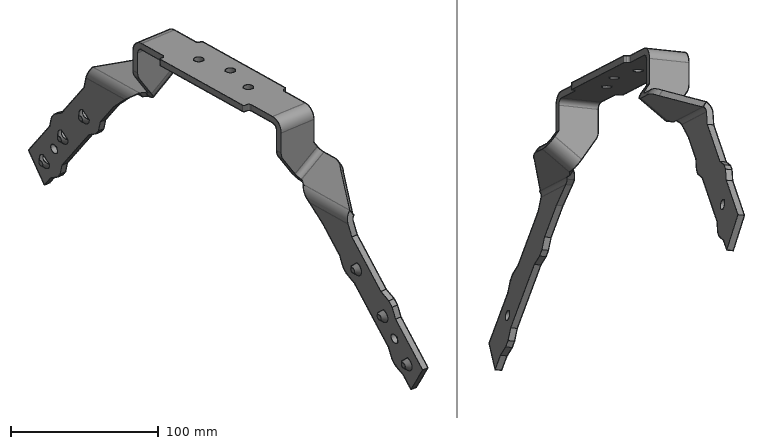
import cadquery as cq
import math

length = 408.5
height = 166.5

thickness = 5.0
bend_inner = 4.0
bend_outer = bend_inner + thickness

half_span = 76.8
strap_width = 29.5
web_reach = 57.0
web_corner_radius = 9.5
half_strap = strap_width / 2
tab_half_length = 43.5
tab_back = 3.5
tab_front = 5.0
tab_root_radius = 2.0
tab_corner_radius = 1.2
plate_hole_diameter = 7.0
plate_hole_x = 25.7
middle_hole_y = 6.0

flange_tilt = math.radians(35)
flange_low = -27.8
flange_high = -3.3
flange_top_depth = 39.5
web_end_depth = flange_top_depth - bend_inner
leg_bend_rise = -30.2
leg_bend_turn = math.radians(60)

shoulder_start_x = 89.5
shoulder_mid = (96.5, -4.0)
shoulder_end = (102.0, -7.8)
flange_tip_x = 133.0
flange_inner_x = 85.0
leg_bend_inner_points = ((95.0, -57.5), (91.0, -54.7))

leg_lean = math.radians(5)
leg_slope = math.radians(50)
leg_outer_edge = 63.5
leg_inner_edge = 38.5
leg_top_outer = 140.5
leg_top_inner = 122.5
bulge_base = 21.2
bulge_crest = 5.0
bulge_height = 3.3
outer_bulges = (192.8,)
inner_bulges = (157.5, 228.0)
foot_outer = (length / 2 - leg_outer_edge * math.sin(leg_slope)) / math.cos(leg_slope)
foot_inner = (height + leg_inner_edge * math.cos(leg_slope)) / math.sin(leg_slope)

stud_places = ((160.5, 49.5), (197.0, 51.0), (233.0, 49.5))
stud_base_radius = 5.5
stud_top_radius = 2.0
stud_height = 3.3
stud_flat = 3.3
leg_hole_place = (214.5, 50.2)
leg_hole_diameter = 7.0

rise_dir = cq.Vector(0, math.cos(flange_tilt), math.sin(flange_tilt))
depth_dir = cq.Vector(0, math.sin(flange_tilt), -math.cos(flange_tilt))
x_dir = cq.Vector(1, 0, 0)


def on_slope(rise, depth):
    """(y, z) of a point given in the flange's rise and depth."""
    point = rise_dir * rise + depth_dir * depth
    return point.y, point.z


def on_leg(along, across):
    """(x, z) of a point given along and across the leg."""
    x = along * math.cos(leg_slope) + across * math.sin(leg_slope)
    z = across * math.cos(leg_slope) - along * math.sin(leg_slope)
    return x, z


def slope_height(y, rise):
    """z at which the line of constant rise passes through y."""
    return (rise - y * math.cos(flange_tilt)) / math.sin(flange_tilt)


bend_y, bend_z = on_slope(leg_bend_rise, flange_top_depth + bend_outer)
lean_cos = math.cos(leg_lean)
lean_sin = math.sin(leg_lean)


def around_leg_bend(radius, angle):
    """(y, z) at an angle below the -Y direction around the leg bend."""
    return bend_y - radius * math.cos(angle), bend_z - radius * math.sin(angle)


def leg_face_y(z):
    """y of the leg's front face at height z."""
    face_y, face_z = around_leg_bend(bend_outer, leg_lean)
    return face_y + (face_z - z) * math.tan(leg_lean)


def filleted_block(half_length, top, radius):
    """Block along X under the height `top`, with its two long upper edges rounded."""
    return (
        cq.Workplane("XY", origin=(0, 0, top))
        .box(2 * half_length, 2 * strap_width, web_reach, centered=(True, True, False))
        .translate((0, 0, -web_reach))
        .edges("|Y and >Z").fillet(radius)
    )


def make_webs():
    """Upside-down U of plate and webs, its lower ends cut along the flange's slope."""
    channel = filleted_block(half_span, 0, bend_outer).cut(
        filleted_block(half_span - thickness, -thickness, bend_inner)
    )
    side_outline = [
        (-half_strap, 0),
        (-half_strap, slope_height(-half_strap, flange_low)),
        on_slope(flange_low, web_end_depth),
        on_slope(flange_high, web_end_depth),
        (half_strap, slope_height(half_strap, flange_high)),
        (half_strap, 0),
    ]
    side = cq.Workplane("YZ").polyline(side_outline).close().extrude(half_span, both=True)
    corner = cq.selectors.NearestToPointSelector((0, *side_outline[1]))
    side = side.edges(corner).fillet(web_corner_radius)
    return channel.intersect(side)


def make_tabs():
    """Widened middle of the top plate."""
    flat_half = half_span - bend_outer
    strip = cq.Workplane("XY").rect(2 * flat_half, strap_width).extrude(-thickness)
    wide = (
        cq.Workplane("XY", origin=(0, (tab_back - tab_front) / 2, 0))
        .rect(2 * tab_half_length, strap_width + tab_back + tab_front)
        .extrude(-thickness)
        .edges("|Z").fillet(tab_corner_radius)
    )
    margin = tab_corner_radius
    roots = cq.selectors.BoxSelector(
        (-tab_half_length - margin, -half_strap - margin, -2 * thickness),
        (tab_half_length + margin, half_strap + margin, thickness),
    )
    return strip.union(wide).edges("|Z").edges(roots).fillet(tab_root_radius)


def make_web_bend():
    """Quarter-round bend from web to flange, running along the slope."""
    start = rise_dir * flange_low
    center_x = half_span + bend_inner
    frame = cq.Plane(origin=start.toTuple(), xDir=x_dir.toTuple(), normal=rise_dir.toTuple())
    ring = (
        cq.Workplane(frame)
        .center(center_x, web_end_depth)
        .circle(bend_outer)
        .circle(bend_inner)
        .extrude(flange_high - flange_low)
    )
    quarter = (
        cq.Workplane(frame)
        .center(center_x - bend_outer / 2, web_end_depth + bend_outer / 2)
        .rect(bend_outer, bend_outer)
        .extrude(flange_high - flange_low)
    )
    return ring.intersect(quarter)


def make_flange():
    """Tilted sheet between the web bend and the leg bend."""
    top = depth_dir * flange_top_depth
    frame = cq.Plane(origin=top.toTuple(), xDir=x_dir.toTuple(), normal=(depth_dir * -1).toTuple())
    start_x = half_span + bend_inner
    return (
        cq.Workplane(frame)
        .moveTo(start_x, flange_low)
        .lineTo(start_x, flange_high)
        .lineTo(shoulder_start_x, flange_high)
        .threePointArc(shoulder_mid, shoulder_end)
        .lineTo(flange_tip_x, leg_bend_rise)
        .lineTo(flange_inner_x, leg_bend_rise)
        .close()
        .extrude(-thickness)
    )


def bulge(middle, edge, swell):
    """Trapezoid bump on a leg edge, as (along, across) points from top to foot."""
    return [
        (middle - bulge_base / 2, edge),
        (middle - bulge_crest / 2, edge + swell),
        (middle + bulge_crest / 2, edge + swell),
        (middle + bulge_base / 2, edge),
    ]


def make_leg():
    """Leg bend and leg as one sheet: the bent section along X, trimmed to the leg's front outline."""
    flange_angle = leg_lean - leg_bend_turn
    middle_angle = leg_lean - leg_bend_turn / 2
    end_z = -height - 2 * thickness
    foot_front = (leg_face_y(end_z), end_z)
    foot_back = (leg_face_y(end_z) + thickness / lean_cos, end_z)
    section = (
        cq.Workplane("YZ")
        .moveTo(*around_leg_bend(bend_outer, flange_angle))
        .threePointArc(
            around_leg_bend(bend_outer, middle_angle),
            around_leg_bend(bend_outer, leg_lean),
        )
        .lineTo(*foot_front)
        .lineTo(*foot_back)
        .lineTo(*around_leg_bend(bend_inner, leg_lean))
        .threePointArc(
            around_leg_bend(bend_inner, middle_angle),
            around_leg_bend(bend_inner, flange_angle),
        )
        .close()
        .extrude(length / 2)
    )
    top_z = on_slope(leg_bend_rise, flange_top_depth)[1]
    above = bend_outer
    trim = [(flange_tip_x, top_z + above), (flange_tip_x, top_z)]
    leg_points = [(leg_top_outer, leg_outer_edge)]
    for middle in outer_bulges:
        leg_points += bulge(middle, leg_outer_edge, bulge_height)
    leg_points += [(foot_outer, leg_outer_edge), (foot_inner, leg_inner_edge)]
    for middle in reversed(inner_bulges):
        leg_points += reversed(bulge(middle, leg_inner_edge, -bulge_height))
    leg_points += [(leg_top_inner, leg_inner_edge)]
    trim += [on_leg(*point) for point in leg_points]
    trim += leg_bend_inner_points
    trim += [(flange_inner_x, top_z), (flange_inner_x, top_z + above)]
    outline = cq.Workplane("XZ").polyline(trim).close().extrude(height, both=True)
    return section.intersect(outline)


def leg_frame(place):
    """Plane on the leg's front face: X runs down the leg, Z points out of the face."""
    x, z = on_leg(*place)
    down_leg = cq.Vector(math.cos(leg_slope), 0, 0)
    down_leg += cq.Vector(0, lean_sin, -lean_cos) * math.sin(leg_slope)
    return cq.Plane(
        origin=(x, leg_face_y(z), z),
        xDir=down_leg.toTuple(),
        normal=(0, -lean_cos, -lean_sin),
    )


def make_stud(place):
    """Tapered stud with a flat on its uphill side."""
    frame = cq.Workplane(leg_frame(place))
    taper = math.degrees(math.atan((stud_base_radius - stud_top_radius) / stud_height))
    cone = frame.circle(stud_base_radius).extrude(stud_height, taper=taper)
    flat = frame.center(stud_base_radius - stud_flat, 0)
    block = flat.rect(2 * stud_base_radius, 2 * stud_base_radius).extrude(stud_height)
    return cone.intersect(block)


plate_holes = (
    cq.Workplane("XY")
    .pushPoints([(-plate_hole_x, 0), (0, middle_hole_y), (plate_hole_x, 0)])
    .circle(plate_hole_diameter / 2)
    .extrude(-thickness)
)
leg_hole = (
    cq.Workplane(leg_frame(leg_hole_place))
    .circle(leg_hole_diameter / 2)
    .extrude(-2 * thickness)
)

arm = make_web_bend().union(make_flange()).union(make_leg())
for stud_place in stud_places:
    arm = arm.union(make_stud(stud_place))
arm = arm.cut(leg_hole)

result = make_webs().union(make_tabs()).cut(plate_holes).union(arm).union(arm.mirror("YZ"))